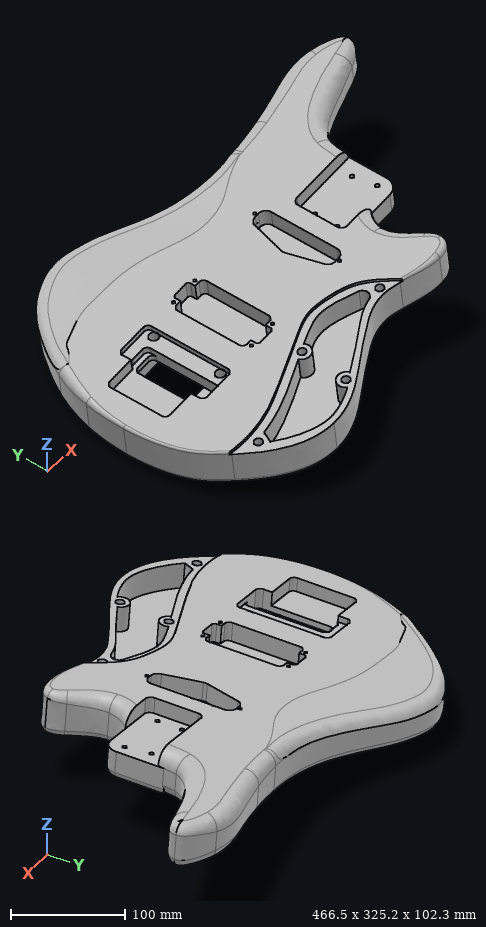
import cadquery as cq
import math

TILT = 7.45
THICKNESS = 44.45

TOP_RADIUS = 2
BACK_RADIUS = 3
OUTLINE = [
    (110.0, -156.8, 2.0, 8.0),
    (76.3, -147.1),
    (53.6, -130.2),
    (30.9, -104.9, 2.0, 8.0),
    (13.9, -79.6),
    (3.9, -50.0),
    (0.0, -8.0, 3.0, 8.0),
    (5.0, 38.0, 6.0, 8.0),
    (20.0, 81.0, 10.0, 8.0),
    (41.0, 114.8),
    (72.0, 148.5, 10.0, 8.0),
    (92.2, 161.0),
    (119.0, 168.3),
    (143.0, 164.5),
    (162.8, 157.0),
    (192.7, 140.1),
    (226.7, 123.2),
    (260.0, 114.4),
    (291.0, 112.5),
    (305.0, 113.1, 12.5, 8.0),
    (341.8, 117.6, 14.0, 9.0),
    (375.9, 125.0),
    (413.5, 132.0),
    (434.0, 129.5, 13.5, 12.0),
    (452.5, 122.0),
    (460.6, 117.0),
    (464.7, 112.6),
    (466.2, 106.7, 10.0, 10.0),
    (464.6, 100.6),
    (460.3, 96.3),
    (445.4, 89.4, 14.5, 12.0),
    (418.5, 81.0),
    (394.3, 72.5),
    (378.7, 64.1),
    (366.3, 48.0, 15.5, 12.0),
    (364.4, 36.0),
    (361.5, 20.0),
    (350.0, -2.0),
    (330.0, -23.0),
    (317.6, -37.3),
    (313.2, -52.0, 13.0, 8.0),
    (319.0, -71.0),
    (328.5, -86.5, 9.0, 8.0),
    (332.8, -95.5),
    (333.2, -103.5, 7.0, 8.0),
    (329.4, -110.2),
    (322.5, -114.0),
    (312.0, -115.4, 5.0, 8.0),
    (293.5, -113.0),
    (269.1, -105.2, 2.0, 8.0),
    (250.0, -101.3),
    (228.1, -105.2),
    (211.1, -113.3),
    (181.2, -130.2),
    (151.5, -147.1),
    (127.5, -155.4),
]

FOREARM_LIFT = 0.4
FOREARM_OVERHANG = 0.3
FOREARM_MARGIN = 8.0
FOREARM = [
    ((20.0, 81.0), (31.5, 75.3), 0.0, 10.3),
    ((29.8, 98.3), (45.0, 90.0), 3.0, 10.4),
    ((41.0, 114.8), (56.0, 94.5), 5.0, 10.7),
    ((55.1, 132.4), (71.0, 99.0), 6.5, 11.5),
    ((72.0, 148.5), (84.0, 101.5), 7.5, 12.5),
    ((92.2, 161.0), (102.0, 101.5), 8.0, 13.5),
    ((119.0, 168.3), (120.0, 100.5), 8.0, 14.0),
    ((143.0, 164.5), (138.0, 98.8), 8.0, 14.0),
    ((162.8, 157.0), (152.0, 96.0), 7.5, 14.0),
    ((192.7, 140.1), (176.0, 87.7), 6.0, 14.0),
    ((226.7, 123.2), (211.5, 74.0), 4.0, 14.0),
    ((260.0, 114.4), (251.0, 76.0), 2.0, 14.0),
    ((291.0, 112.5), (284.0, 93.0), 0.7, 14.0),
    ((305.0, 113.1), (304.0, 98.5), 0.0, 12.0),
]

POCKET_START = 286.1
HEEL_START = 300.0
HEEL_END = 364.2
HEEL_TOP = 36.0
POCKET_WIDTH = 56.4
POCKET_DEPTH = 15.5
POCKET_CORNER = 6.0
HEEL_CORNER = 14.0
HEEL_ROUND = 8.0
NECK_SCREWS = [(295.8, 12.5), (295.8, -12.5), (348.2, 12.5), (352.5, -12.5)]
NECK_SCREW_D = 4.1

SHELF = (63.9, 104.2, -47.8, 47.8)
SHELF_DEPTH = 6.2
TAIL_POCKET = (28.9, 75.0, -33.7, 33.7)
BLOCK_POCKET = (63.9, 87.8, -33.7, 36.4)
TAIL_DEPTH = 13.6
BLOCK_SLOT = (63.9, 87.8, -47.8, 31.1)
SLOT_DEPTH = 20.0
SPRING_CAVITY = (60.0, 112.0, -26.7, 37.6)
CAVITY_CORNER = 5.0
STUD_U = 99.9
STUD_V = 37.3
STUD_D = 9.91
STUD_DEPTH = 26.0

PICKUP_DEPTH = 18.5
PICKUP_SCREW_D = 3.0
PICKUP_SCREW_DEPTH = 12.0
HUMBUCKER_U = 151.8
HUMBUCKER = (41.2, 79.0)
HUMBUCKER_CORNER = 5.0
HUMBUCKER_EAR_CORNER = 3.0
HUMBUCKER_EARS = (20.9, 95.6)
HUMBUCKER_SCREWS = (30.0, 87.2)
SINGLE_COIL = [(236.2, 0.0), (248.0, 45.0), (266.5, 45.0), (266.5, -45.0), (248.0, -45.0)]
SINGLE_CORNER = 8.0
SINGLE_SCREW_U = 256.8
SINGLE_SCREW_V = 47.5

COVER_DEPTH = 3.0
COVER_EDGE = [
    (26.0, -102.4),
    (56.7, -105.3),
    (89.8, -100.1),
    (127.7, -86.0),
    (163.1, -72.0),
    (193.9, -61.9),
    (219.9, -65.0),
    (243.5, -74.3),
    (260.1, -89.6),
    (272.0, -106.0),
]
COVER_OUTSIDE = [(262.0, -180.0), (10.0, -180.0)]
CONTROL_DEPTH = 28.0
CONTROL_UPPER = [
    (67.0, -112.8),
    (103.0, -104.6),
    (148.0, -86.5),
    (180.0, -73.5),
    (197.0, -69.2),
    (222.0, -73.5),
    (241.0, -81.4),
]
CONTROL_TIP = (244.6, -88.5)
CONTROL_LOWER = [
    (238.5, -94.5),
    (222.0, -100.0),
    (198.0, -114.0),
    (167.0, -130.5),
    (147.0, -142.3),
    (132.0, -147.8),
    (115.5, -150.4),
    (88.0, -142.8),
    (61.8, -123.8),
]
COVER_HOLES = [(55.6, -115.3), (158.5, -83.0), (155.2, -134.8), (254.5, -94.2)]
COVER_HOLE_D = 8.33
COVER_HOLE_DEPTH = 13.0
BOSS_D = 18.0

AIR = 2.0


def at_height(w):
    return cq.Workplane("XY").workplane(offset=w)


def rectangular_block(bounds, bottom, top):
    u0, u1, v0, v1 = bounds
    return at_height(bottom).center((u0 + u1) / 2, (v0 + v1) / 2).rect(u1 - u0, v1 - v0).extrude(top - bottom)


def pocket(bounds, bottom, top, corner):
    return rectangular_block(bounds, bottom, top).edges("|Z").fillet(corner)


def drilled(points, diameter, bottom, top):
    return at_height(bottom).pushPoints(points).circle(diameter / 2).extrude(top - bottom)


def mirrored_pair(u, v):
    return [(u, v), (u, -v)]


def outline_edges():
    """Cut the closed outline curve into edges that meet at the points with stated rounds."""
    points = [cq.Vector(p[0], p[1], -THICKNESS) for p in OUTLINE]
    lengths = [0.0]
    for here, there in zip(points, points[1:] + points[:1]):
        lengths.append(lengths[-1] + (there - here).Length)
    loop = cq.Edge.makeSpline(points, periodic=True, parameters=lengths)
    marks = [i for i, p in enumerate(OUTLINE) if len(p) > 2] + [len(OUTLINE)]
    return [loop.trim(lengths[first], lengths[last]) for first, last in zip(marks, marks[1:])]


def round_rim(body, face, radius_index):
    """Round the rim of one face with a radius that changes along the outline."""
    stations = [p for p in OUTLINE if len(p) > 2]
    rim = body.faces(face).edges().vals()
    maker = cq.occ_impl.shapes.BRepFilletAPI_MakeFillet(body.val().wrapped)
    for edge in rim:
        maker.Add(HEEL_ROUND, edge.wrapped)
    for edge in rim:
        for vertex in edge.Vertices():
            station = min(stations, key=lambda p: math.hypot(p[0] - vertex.X, p[1] - vertex.Y))
            maker.SetRadius(station[radius_index], maker.Contour(edge.wrapped), vertex.wrapped)
    return cq.Workplane(cq.Shape.cast(maker.Shape()))


def rounded_slab():
    profile = cq.Face.makeFromWires(cq.Wire.assembleEdges(outline_edges()))
    slab = cq.Workplane(cq.Solid.extrudeLinear(profile, cq.Vector(0, 0, THICKNESS)))
    return round_rim(round_rim(slab, "<Z", BACK_RADIUS), ">Z", TOP_RADIUS)


def forearm_section(outer, inner, drop, radius):
    """Outline of the removed material: a sloping line, then a round that ends just outside the wall."""
    inner_point = cq.Vector(*inner, 0)
    across = cq.Vector(*outer, 0) - inner_point
    plane = cq.Plane(inner_point, across, across.cross(cq.Vector(0, 0, 1)))
    wall = across.Length + FOREARM_OVERHANG
    start = wall - radius
    halfway = radius * math.sqrt(0.5)
    low = -drop - radius
    return (
        cq.Workplane(plane)
        .moveTo(0, FOREARM_LIFT)
        .lineTo(start, -drop)
        .threePointArc((start + halfway, low + halfway), (wall, low))
        .lineTo(wall + FOREARM_MARGIN, low)
        .lineTo(wall + FOREARM_MARGIN, FOREARM_MARGIN)
        .lineTo(0, FOREARM_MARGIN)
        .close()
        .val()
    )


def forearm_cutter():
    return cq.Workplane(cq.Solid.makeLoft([forearm_section(*section) for section in FOREARM]))


def heel():
    bounds = (HEEL_START, HEEL_END, -POCKET_WIDTH / 2, HEEL_TOP)
    block = rectangular_block(bounds, -THICKNESS, -POCKET_DEPTH)
    block = block.edges("|Z and >X and <Y").fillet(HEEL_CORNER)
    return block.faces("<Z").edges().fillet(HEEL_ROUND)


def neck_pocket():
    bounds = (POCKET_START, HEEL_END + AIR, -POCKET_WIDTH / 2, POCKET_WIDTH / 2)
    block = rectangular_block(bounds, -POCKET_DEPTH, AIR)
    screws = drilled(NECK_SCREWS, NECK_SCREW_D, -THICKNESS - AIR, AIR)
    return block.edges("|Z and <X").fillet(POCKET_CORNER).union(screws)


def tremolo_cavity():
    cavity = pocket(SHELF, -SHELF_DEPTH, AIR, CAVITY_CORNER)
    cavity = cavity.union(pocket(TAIL_POCKET, -TAIL_DEPTH, AIR, CAVITY_CORNER))
    cavity = cavity.union(pocket(BLOCK_POCKET, -TAIL_DEPTH, -SHELF_DEPTH, CAVITY_CORNER))
    cavity = cavity.union(pocket(BLOCK_SLOT, -SLOT_DEPTH, -SHELF_DEPTH, CAVITY_CORNER))
    cavity = cavity.union(rectangular_block(SPRING_CAVITY, -THICKNESS - AIR, -SLOT_DEPTH))
    return cavity.union(drilled(mirrored_pair(STUD_U, STUD_V), STUD_D, -STUD_DEPTH, -SHELF_DEPTH))


def centred_bounds(u, size):
    return (u - size[0] / 2, u + size[0] / 2, -size[1] / 2, size[1] / 2)


def humbucker_cavity():
    coil = pocket(centred_bounds(HUMBUCKER_U, HUMBUCKER), -PICKUP_DEPTH, AIR, HUMBUCKER_CORNER)
    ears = pocket(centred_bounds(HUMBUCKER_U, HUMBUCKER_EARS), -PICKUP_DEPTH, AIR, HUMBUCKER_EAR_CORNER)
    screws = []
    for side in (-1, 1):
        screws += mirrored_pair(HUMBUCKER_U + side * HUMBUCKER_SCREWS[0] / 2, HUMBUCKER_SCREWS[1] / 2)
    return coil.union(ears).union(drilled(screws, PICKUP_SCREW_D, -PICKUP_SCREW_DEPTH, AIR))


def single_coil_cavity():
    cavity = at_height(-PICKUP_DEPTH).polyline(SINGLE_COIL).close().extrude(PICKUP_DEPTH + AIR)
    cavity = cavity.edges("|Z").fillet(SINGLE_CORNER)
    screws = mirrored_pair(SINGLE_SCREW_U, SINGLE_SCREW_V)
    return cavity.union(drilled(screws, PICKUP_SCREW_D, -PICKUP_SCREW_DEPTH, AIR))


def cover_step():
    sketch = at_height(-COVER_DEPTH).moveTo(*COVER_EDGE[0]).spline(COVER_EDGE[1:], includeCurrent=True)
    for corner in COVER_OUTSIDE:
        sketch = sketch.lineTo(*corner)
    return sketch.close().extrude(COVER_DEPTH + AIR)


def control_cavity():
    cavity = (
        at_height(-CONTROL_DEPTH)
        .moveTo(*CONTROL_UPPER[0])
        .spline(CONTROL_UPPER[1:], includeCurrent=True)
        .threePointArc(CONTROL_TIP, CONTROL_LOWER[0])
        .spline(CONTROL_LOWER[1:], includeCurrent=True)
        .close()
        .extrude(CONTROL_DEPTH)
    )
    bosses = drilled(COVER_HOLES, BOSS_D, -CONTROL_DEPTH, 0)
    holes = drilled(COVER_HOLES, COVER_HOLE_D, -COVER_HOLE_DEPTH, 0)
    return cavity.cut(bosses).union(holes)


body = rounded_slab()
body = body.cut(forearm_cutter())
body = body.union(heel())
for cutter in (
    neck_pocket(),
    tremolo_cavity(),
    humbucker_cavity(),
    single_coil_cavity(),
    cover_step(),
    control_cavity(),
):
    body = body.cut(cutter)

result = body.rotate((0, 0, 0), (0, 1, 0), -TILT)